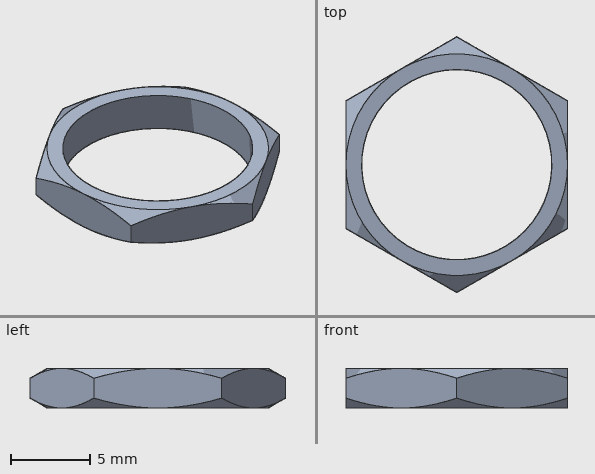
import cadquery as cq
import math

across_corners = 16.17
thickness = 2.5
bore_diameter = 12.0
chamfer_angle = 30.0

corner_radius = across_corners / 2
flat_radius = corner_radius * math.cos(math.radians(30))
chamfer_height = (corner_radius - flat_radius) * math.tan(math.radians(chamfer_angle))
half_thickness = thickness / 2
corner_half_height = half_thickness - chamfer_height


def hexagonal_ring():
    """Hexagonal plate with a plain through bore."""
    return (
        cq.Workplane("XY")
        .transformed(rotate=(0, 0, 90))
        .polygon(6, across_corners)
        .circle(bore_diameter / 2)
        .extrude(half_thickness, both=True)
    )


def chamfer_envelope():
    """Turned solid whose conical ends, tangent to the flats, cut back the corners."""
    return (
        cq.Workplane("XZ")
        .moveTo(0, -half_thickness)
        .lineTo(flat_radius, -half_thickness)
        .lineTo(corner_radius, -corner_half_height)
        .lineTo(corner_radius, corner_half_height)
        .lineTo(flat_radius, half_thickness)
        .lineTo(0, half_thickness)
        .close()
        .revolve(360, (0, 0, 0), (0, 1, 0))
    )


result = hexagonal_ring().intersect(chamfer_envelope())